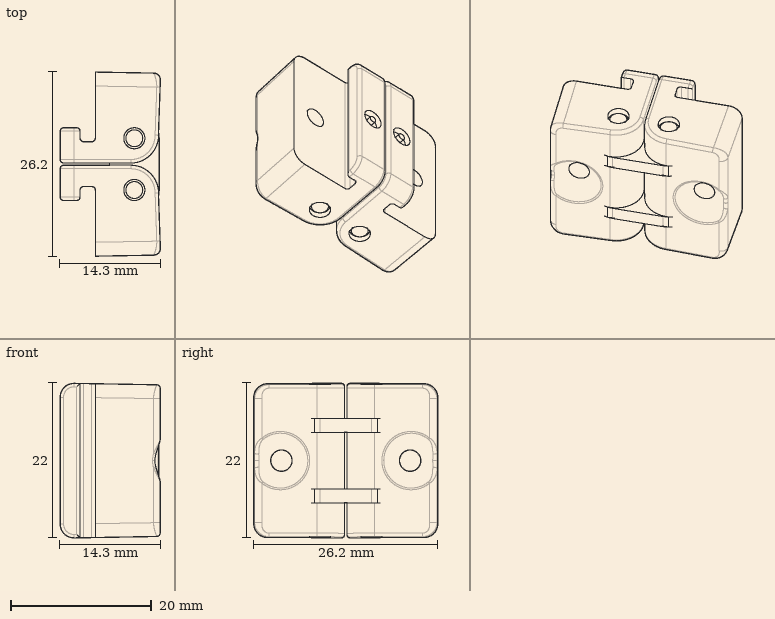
import cadquery as cq
import math


half_gap = 0.15
side_y = 13.1
front_x = 9.31
knuckle_radius = 3.95
outer_corner_radius = 1.0
groove_width = 2.15
groove_floor_y = 3.2
groove_radius = 0.5
front_slope = math.tan(math.radians(2.0))
draft_slope = math.tan(math.radians(1.0))

hook_length = 5.0
hook_width = 5.03
hook_y = half_gap + hook_width

half_height = 11.0
end_radius = 2.0
edge_radius = 0.5
parting_x = end_radius - hook_length

mount_y = 9.15
mount_diameter = 3.0
sink_diameter = 8.0
sink_slope = math.tan(math.radians(45.0))
sink_edge_radius = 0.35

recess_y = half_gap + hook_width / 2
recess_diameter = 3.0
recess_depth = 1.0
stud_diameter = 1.0

pin_x = 5.55
pin_y = 3.68
pin_diameter = 3.0
pin_chamfer = 0.3
pin_half_length = 10.2
link_radius = 3.55
link_thickness = 2.0
link_z = 5.0

reach = 30.0
margin = 0.01
diagonal = math.sqrt(0.5)


def height_at(x):
    """Half height of the drafted leaf in front of the parting line."""
    return half_height - (x - parting_x) * draft_slope


def side_at(x):
    """Y of the drafted outer side."""
    return side_y - x * draft_slope


def front_at(y):
    """X of the tilted front face."""
    return front_x - (side_y - y) * front_slope


def edges_in_box(body, low, high):
    """Edges that lie entirely in the box between two corners."""
    return body.edges(cq.selectors.BoxSelector(low, high, boundingbox=True))


def drafted_slab():
    """Drafted height and outer side of a leaf, with its ends and long outer edges rounded."""
    far_x = front_x + outer_corner_radius
    end_z = half_height - end_radius
    arc_x = parting_x - end_radius * diagonal
    arc_z = end_z + end_radius * diagonal
    slab = (
        cq.Workplane("XZ")
        .moveTo(-hook_length, -end_z)
        .lineTo(-hook_length, end_z)
        .threePointArc((arc_x, arc_z), (parting_x, half_height))
        .lineTo(far_x, height_at(far_x))
        .lineTo(far_x, -height_at(far_x))
        .lineTo(parting_x, -half_height)
        .threePointArc((arc_x, -arc_z), (-hook_length, -end_z))
        .close()
        .extrude(-reach)
    )
    side = (
        cq.Workplane("XY")
        .polyline([
            (-hook_length, 0),
            (far_x, 0),
            (far_x, side_at(far_x)),
            (-hook_length, side_at(-hook_length)),
        ])
        .close()
        .extrude(reach, both=True)
    )
    slab = slab.intersect(side)
    long_edges = edges_in_box(
        slab,
        (parting_x - margin, side_at(far_x) - margin, -reach),
        (far_x + margin, reach, reach),
    ).edges("not |Z")
    return long_edges.fillet(end_radius)


def plan_prism():
    """Hook, groove, round knuckle and mounting block as a prism along Z."""
    knuckle_y = half_gap + knuckle_radius
    knuckle_x = front_at(knuckle_y) - knuckle_radius
    arc_point = (knuckle_x + knuckle_radius * diagonal, knuckle_y - knuckle_radius * diagonal)
    corner_y = side_at(front_x)
    prism = (
        cq.Workplane("XY")
        .moveTo(-hook_length, half_gap)
        .lineTo(knuckle_x, half_gap)
        .threePointArc(arc_point, (front_at(knuckle_y), knuckle_y))
        .lineTo(front_at(corner_y), corner_y)
        .lineTo(0, side_y)
        .lineTo(0, groove_floor_y)
        .lineTo(-groove_width, groove_floor_y)
        .lineTo(-groove_width, hook_y)
        .lineTo(-hook_length, hook_y)
        .close()
        .extrude(reach, both=True)
    )
    groove_corners = edges_in_box(
        prism,
        (-groove_width - margin, groove_floor_y - margin, -reach - margin),
        (margin, groove_floor_y + margin, reach + margin),
    ).edges("|Z")
    return groove_corners.fillet(groove_radius)


def round_inner_rim(body):
    """Round the closed rim that runs from the hook over the knuckle and front face.

    The straight outer front edge has its own radius, and the radius blends
    between the two values along the round ends of that edge.
    """
    first_edge = body.edges("<X and |Z").edges("<Y").val()
    rim = cq.occ_impl.shapes.BRepFilletAPI_MakeFillet(body.val().wrapped)
    rim.Add(edge_radius, first_edge.wrapped)
    for number in range(1, rim.NbEdges(1) + 1):
        edge = cq.Edge(rim.Edge(1, number))
        if edge.geomType() == "LINE":
            is_outer = min(edge.startPoint().y, edge.endPoint().y) > mount_y
            rim.SetRadius(outer_corner_radius if is_outer else edge_radius, 1, number)
    return cq.Workplane(obj=cq.Shape.cast(rim.Shape()))


def round_hook_rim(body):
    """Round all edges of the hook's outer side."""
    rim = edges_in_box(
        body,
        (-hook_length - margin, hook_y - margin, -reach),
        (-groove_width + margin, hook_y + margin, reach),
    )
    return rim.fillet(edge_radius)


def mounting_hole():
    """Through hole with a countersink in the front face."""
    hole_radius = mount_diameter / 2
    sink_radius = sink_diameter / 2
    face_x = front_at(mount_y)
    sink_start_x = face_x - (sink_radius - hole_radius) / sink_slope
    end_x = front_x + outer_corner_radius
    mouth_radius = sink_radius + (end_x - face_x) * sink_slope
    return (
        cq.Workplane("XY")
        .polyline([
            (-hook_length, 0),
            (-hook_length, hole_radius),
            (sink_start_x, hole_radius),
            (end_x, mouth_radius),
            (end_x, 0),
        ])
        .close()
        .revolve(360, (0, 0, 0), (1, 0, 0))
        .translate((0, mount_y, 0))
    )


def cut_mounting_hole(body):
    """Cut the mounting hole and round the rim of its countersink."""
    body = body.cut(mounting_hole())
    rim = edges_in_box(
        body,
        (front_x - 2 * outer_corner_radius, 0, -sink_diameter),
        (reach, reach, sink_diameter),
    )
    return rim.fillet(sink_edge_radius)


def stud_recess():
    """Ring-shaped recess in the hook face that leaves a stud in its middle."""
    return (
        cq.Workplane("YZ", origin=(-hook_length, recess_y, 0))
        .circle(recess_diameter / 2)
        .circle(stud_diameter / 2)
        .extrude(recess_depth)
    )


def pin_hole(side):
    """Through hole for a pin on the side given by the sign of Y."""
    return (
        cq.Workplane("XY", origin=(pin_x, side * pin_y, 0))
        .circle(pin_diameter / 2)
        .extrude(reach, both=True)
    )


def link_plate(level):
    """Round-ended plate above (1) or below (-1) the middle, reaching around both pins."""
    return (
        cq.Workplane("XY", origin=(pin_x, 0, level * link_z - link_thickness / 2))
        .slot2D(2 * (pin_y + link_radius), 2 * link_radius, 90)
        .extrude(link_thickness)
    )


def make_leaf():
    """Leaf on the +Y side, with slots for the links."""
    leaf = drafted_slab().intersect(plan_prism())
    leaf = round_inner_rim(leaf)
    leaf = round_hook_rim(leaf)
    leaf = cut_mounting_hole(leaf)
    leaf = leaf.cut(stud_recess()).cut(pin_hole(1))
    for level in (1, -1):
        leaf = leaf.cut(link_plate(level))
    return leaf


def make_link(level):
    """Link with its two pin holes."""
    return link_plate(level).cut(pin_hole(1)).cut(pin_hole(-1))


def make_pin(side):
    """Chamfered pin, sunk below both end faces of its leaf."""
    return (
        cq.Workplane("XY", origin=(pin_x, side * pin_y, -pin_half_length))
        .circle(pin_diameter / 2)
        .extrude(2 * pin_half_length)
        .faces("|Z")
        .chamfer(pin_chamfer)
    )


leaf = make_leaf()
mirrored_leaf = leaf.mirror("XZ")
links = [make_link(level) for level in (1, -1)]
pins = [make_pin(side) for side in (1, -1)]

bodies = [leaf, mirrored_leaf, *links, *pins]
result = cq.Compound.makeCompound([body.solids().val() for body in bodies])